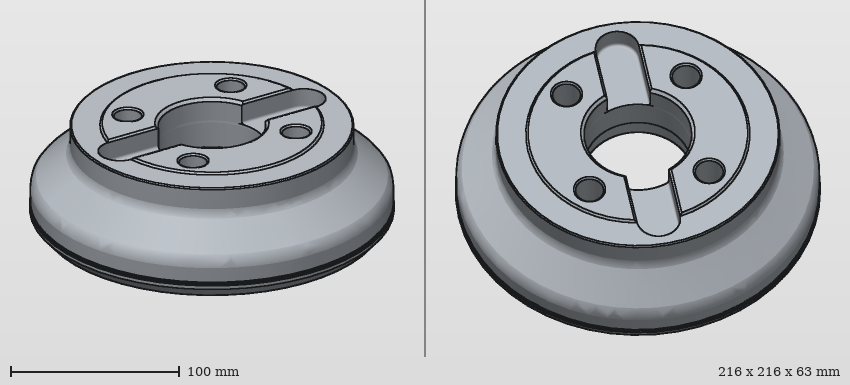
import cadquery as cq
import math

total_height = 63.0
pad_height = 1.3
boss_top = total_height - pad_height
joint_height = 10.0
recess_top = 20.3

hub_diameter = 215.1
boss_diameter = 168.0
boss_edge_chamfer = 0.9
cone_angle = 40.0
flank_foot_height = 25.3
neck_round = 6.7
shoulder_round = 9.5
rim_edge_chamfer = 1.5

pad_top_diameter = 130.0

upper_bore_diameter = 63.7
middle_bore_diameter = 63.5
lower_bore_diameter = 65.5
bore_mouth_chamfer = 2.0
bore_taper_height = 1.5
bore_step_height = 31.0
recess_diameter = 137.0

slot_width = 26.0
slot_end_reach = 77.3
slot_floor = 48.8
slot_floor_round = 2.0

bolt_hole_diameter = 16.6
bolt_hole_chamfer = 1.0
bolt_circle_diameter = 102.0
bolt_hole_count = 4
first_bolt_angle = 45.0

ring_diameter = 216.0
ring_bottom_diameter = 203.9
ring_bevel_height = 7.0
ring_edge_chamfer = 0.6


def make_hub_blank():
    """Turned hub: rim, sloping flank and boss, with rounds at both ends of the flank."""
    rim_radius = hub_diameter / 2
    boss_radius = boss_diameter / 2
    flank_rise = (rim_radius - boss_radius) * math.tan(math.radians(cone_angle))
    flank_top = flank_foot_height + flank_rise
    blank = (
        cq.Workplane("XZ")
        .moveTo(0, joint_height)
        .lineTo(rim_radius - rim_edge_chamfer, joint_height)
        .lineTo(rim_radius, joint_height + rim_edge_chamfer)
        .lineTo(rim_radius, flank_foot_height)
        .lineTo(boss_radius, flank_top)
        .lineTo(boss_radius, boss_top)
        .lineTo(0, boss_top)
        .close()
        .revolve(360, (0, 0), (0, 1))
    )
    neck_edge = cq.selectors.NearestToPointSelector((0, 0, flank_top))
    blank = blank.edges(neck_edge).fillet(neck_round)
    shoulder_edge = cq.selectors.NearestToPointSelector((0, 0, flank_foot_height))
    blank = blank.edges(shoulder_edge).fillet(shoulder_round)
    return blank.faces(">Z").edges().chamfer(boss_edge_chamfer)


def make_slot_cutter():
    """Round-ended slot with rounded floor edges."""
    slot_length = 2 * slot_end_reach
    return (
        cq.Workplane("XY", origin=(0, 0, slot_floor))
        .slot2D(slot_length, slot_width, 90)
        .extrude(total_height - slot_floor)
        .faces("<Z")
        .edges()
        .fillet(slot_floor_round)
    )


def make_pad():
    """Raised pad split in two by the slot, with 45 degree bevels at its rim and slot edges."""
    outer_top = pad_top_diameter / 2
    outer_base = outer_top + pad_height
    ring = (
        cq.Workplane("XZ")
        .moveTo(0, boss_top)
        .lineTo(outer_base, boss_top)
        .lineTo(outer_top, total_height)
        .lineTo(0, total_height)
        .close()
        .revolve(360, (0, 0), (0, 1))
    )
    half_slot = slot_width / 2
    slot_flare = (
        cq.Workplane("XZ")
        .moveTo(-half_slot, boss_top)
        .lineTo(half_slot, boss_top)
        .lineTo(half_slot + pad_height, total_height)
        .lineTo(-half_slot - pad_height, total_height)
        .close()
        .extrude(slot_end_reach, both=True)
    )
    return ring.cut(slot_flare)


def cut_bore(body):
    """Stepped central bore with a chamfered mouth, opening into the wide recess underneath."""
    upper_radius = upper_bore_diameter / 2
    middle_radius = middle_bore_diameter / 2
    lower_radius = lower_bore_diameter / 2
    recess_radius = recess_diameter / 2
    cutter = (
        cq.Workplane("XZ")
        .moveTo(0, joint_height)
        .lineTo(recess_radius, joint_height)
        .lineTo(recess_radius, recess_top)
        .lineTo(lower_radius, recess_top)
        .lineTo(lower_radius, bore_step_height)
        .lineTo(middle_radius, bore_step_height)
        .lineTo(middle_radius, slot_floor - bore_taper_height)
        .lineTo(upper_radius, slot_floor)
        .lineTo(upper_radius, total_height - bore_mouth_chamfer)
        .lineTo(upper_radius + bore_mouth_chamfer, total_height)
        .lineTo(0, total_height)
        .close()
        .revolve(360, (0, 0), (0, 1))
    )
    return body.cut(cutter)


def cut_bolt_holes(body):
    """Chamfered through holes on the bolt circle."""
    hole_radius = bolt_hole_diameter / 2
    mouth_radius = hole_radius + bolt_hole_chamfer
    cutter = (
        cq.Workplane("XZ")
        .moveTo(0, recess_top)
        .lineTo(hole_radius, recess_top)
        .lineTo(hole_radius, total_height - bolt_hole_chamfer)
        .lineTo(mouth_radius, total_height)
        .lineTo(0, total_height)
        .close()
        .revolve(360, (0, 0), (0, 1))
        .translate((bolt_circle_diameter / 2, 0, 0))
    )
    for index in range(bolt_hole_count):
        angle = first_bolt_angle + index * 360 / bolt_hole_count
        body = body.cut(cutter.rotate((0, 0, 0), (0, 0, 1), angle))
    return body


def make_hub():
    """Turned body with the bevelled pad on top, cut by the slot, the bore and the bolt holes."""
    body = make_hub_blank().union(make_pad()).cut(make_slot_cutter())
    return cut_bolt_holes(cut_bore(body)).solids()


def make_rim_ring():
    """Flat ring under the hub, bevelled at the bottom and chamfered at the joint."""
    inner_radius = recess_diameter / 2
    return (
        cq.Workplane("XZ")
        .moveTo(inner_radius, 0)
        .lineTo(ring_bottom_diameter / 2, 0)
        .lineTo(ring_diameter / 2, ring_bevel_height)
        .lineTo(ring_diameter / 2, joint_height - ring_edge_chamfer)
        .lineTo(ring_diameter / 2 - ring_edge_chamfer, joint_height)
        .lineTo(inner_radius, joint_height)
        .close()
        .revolve(360, (0, 0), (0, 1))
    )


hub = make_hub()
rim_ring = make_rim_ring()

result = cq.Compound.makeCompound([hub.val(), rim_ring.val()])